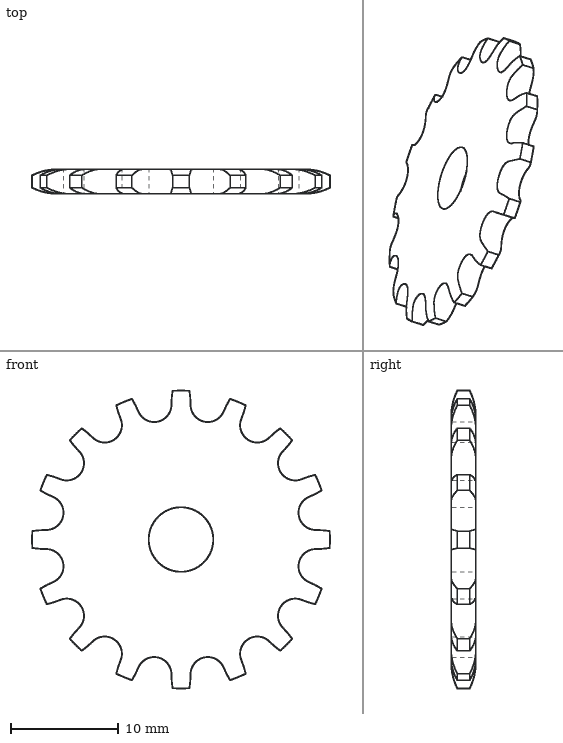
import cadquery as cq
import math

TOOTH_COUNT = 16
CHAIN_PITCH = 5.0
ROLLER_SEAT_RADIUS = 1.6
FLANK_RADIUS = 8.0
TIP_RADIUS = 13.9
THICKNESS = 2.3
TIP_THICKNESS = 1.15
FLAT_FACE_RADIUS = 11.56
BORE_DIAMETER = 6.0

HALF_TOOTH_ANGLE = math.pi / TOOTH_COUNT
HALF_PITCH = CHAIN_PITCH / 2
PITCH_RADIUS = HALF_PITCH / math.sin(HALF_TOOTH_ANGLE)
SEAT_CENTRE_HEIGHT = PITCH_RADIUS * math.cos(HALF_TOOTH_ANGLE)
SEAT_BOTTOM_RADIUS = PITCH_RADIUS - ROLLER_SEAT_RADIUS
HALF_TOOTH_WIDTH = HALF_PITCH - ROLLER_SEAT_RADIUS

FLANK_CENTRE_X = HALF_TOOTH_WIDTH - FLANK_RADIUS


def solve_flank_tip():
    """Point where the flank arc of the tooth on +Z meets the tip circle."""
    centre_distance = math.hypot(FLANK_CENTRE_X, SEAT_CENTRE_HEIGHT)
    along = (TIP_RADIUS**2 - FLANK_RADIUS**2 + centre_distance**2) / (2 * centre_distance)
    across = math.sqrt(TIP_RADIUS**2 - along**2)
    unit_x = FLANK_CENTRE_X / centre_distance
    unit_z = SEAT_CENTRE_HEIGHT / centre_distance
    return along * unit_x + across * unit_z, along * unit_z - across * unit_x


def flank_middle(tip_x, tip_z):
    """Middle point of the flank arc between the seat and the given tip point."""
    half_sweep = math.atan2(tip_z - SEAT_CENTRE_HEIGHT, tip_x - FLANK_CENTRE_X) / 2
    return (
        FLANK_CENTRE_X + FLANK_RADIUS * math.cos(half_sweep),
        SEAT_CENTRE_HEIGHT + FLANK_RADIUS * math.sin(half_sweep),
    )


def turned(point, angle):
    """Turn a point about the sprocket axis, clockwise from +Z towards +X."""
    x, z = point
    return (
        x * math.cos(angle) + z * math.sin(angle),
        z * math.cos(angle) - x * math.sin(angle),
    )


def mirrored(point):
    """Reflect a point across the axis of the tooth on +Z."""
    return (-point[0], point[1])


def make_toothed_plate():
    """Full-thickness plate with a roller seat between each pair of teeth."""
    tip = solve_flank_tip()
    middle = flank_middle(*tip)
    flank_start = (HALF_TOOTH_WIDTH, SEAT_CENTRE_HEIGHT)
    seat_bottom = turned((0, SEAT_BOTTOM_RADIUS), HALF_TOOTH_ANGLE)

    outline = cq.Workplane("XZ").moveTo(*mirrored(flank_start))
    for tooth in range(TOOTH_COUNT):
        angle = 2 * HALF_TOOTH_ANGLE * tooth
        next_angle = angle + 2 * HALF_TOOTH_ANGLE
        outline = (
            outline
            .threePointArc(turned(mirrored(middle), angle), turned(mirrored(tip), angle))
            .threePointArc(turned((0, TIP_RADIUS), angle), turned(tip, angle))
            .threePointArc(turned(middle, angle), turned(flank_start, angle))
            .threePointArc(turned(seat_bottom, angle), turned(mirrored(flank_start), next_angle))
        )
    return outline.close().extrude(THICKNESS / 2, both=True)


def rim_arc_middle():
    """Middle point (radius, Y) of the rim arc on the +Y side."""
    radial_run = TIP_RADIUS - FLAT_FACE_RADIUS
    drop = (THICKNESS - TIP_THICKNESS) / 2
    rim_radius = (radial_run**2 + drop**2) / (2 * drop)
    half_sweep = math.asin(radial_run / rim_radius) / 2
    return (
        FLAT_FACE_RADIUS + rim_radius * math.sin(half_sweep),
        THICKNESS / 2 - rim_radius * (1 - math.cos(half_sweep)),
    )


def make_rounded_disc():
    """Disc whose rim thins towards the tips along arcs tangent to its faces."""
    half_face = THICKNESS / 2
    half_tip = TIP_THICKNESS / 2
    middle_radius, middle_y = rim_arc_middle()
    return (
        cq.Workplane("XY")
        .moveTo(0, -half_face)
        .lineTo(FLAT_FACE_RADIUS, -half_face)
        .threePointArc((middle_radius, -middle_y), (TIP_RADIUS, -half_tip))
        .lineTo(TIP_RADIUS, half_tip)
        .threePointArc((middle_radius, middle_y), (FLAT_FACE_RADIUS, half_face))
        .lineTo(0, half_face)
        .close()
        .revolve(360, (0, 0, 0), (0, 1, 0))
    )


def make_bore():
    """Cylinder that cuts the shaft hole right through the plate."""
    return cq.Workplane("XZ").circle(BORE_DIAMETER / 2).extrude(THICKNESS, both=True)


result = make_toothed_plate().intersect(make_rounded_disc()).cut(make_bore())